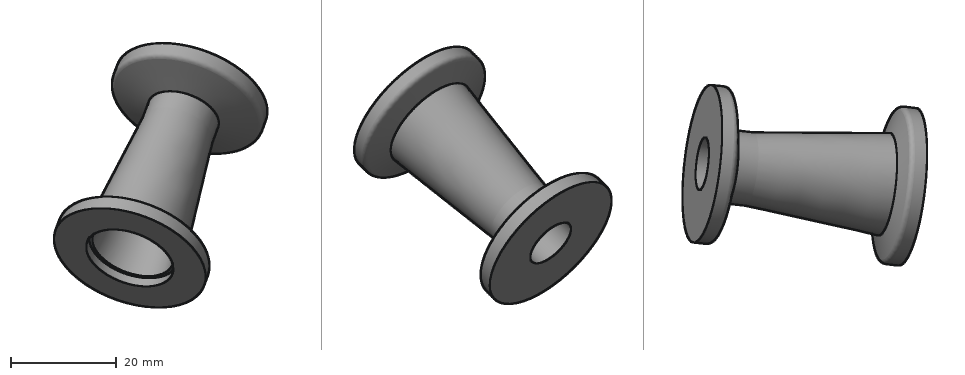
import cadquery as cq
import math

length = 40.0
flange_radius = 15.0
flange_slope = math.tan(math.radians(15))
flange_edge = 3.1
rim_fillet = 1.0

neck_radius = 7.0
taper_end = 30.8
taper_front_radius = 9.75

wide_bore_radius = 8.0
narrow_bore_radius = 5.0
counterbore_radius = 8.6
counterbore_depth = 2.0


def turned(profile):
    """Solid of revolution about Y from (radius, position) points."""
    return cq.Workplane("XY").polyline(profile).close().revolve(360, (0, 0), (0, 1))


def flange_thickness(radius):
    """Thickness of a flange at a given radius on its clamping cone."""
    return flange_edge + (flange_radius - radius) * flange_slope


def clamp_flange(root_radius):
    """Solid flange with its flat face on Y = 0 and its clamping cone toward +Y."""
    root_thickness = flange_thickness(root_radius)
    blank = turned([
        (0, 0),
        (flange_radius, 0),
        (flange_radius, flange_edge),
        (root_radius, root_thickness),
        (0, root_thickness),
    ])
    return blank.faces("%CONE").edges("<Y").fillet(rim_fillet)


front_flange = clamp_flange(taper_front_radius)
rear_flange = clamp_flange(neck_radius).mirror("XZ").translate((0, length, 0))

neck = turned([
    (0, 0),
    (taper_front_radius, 0),
    (taper_front_radius, flange_thickness(taper_front_radius)),
    (neck_radius, taper_end),
    (neck_radius, length),
    (0, length),
])

bore = turned([
    (0, 0),
    (counterbore_radius, 0),
    (counterbore_radius, counterbore_depth),
    (wide_bore_radius, counterbore_depth),
    (narrow_bore_radius, taper_end),
    (narrow_bore_radius, length),
    (0, length),
])

adapter = front_flange.union(rear_flange).union(neck).cut(bore)

result = adapter.translate((0, -length / 2, 0))